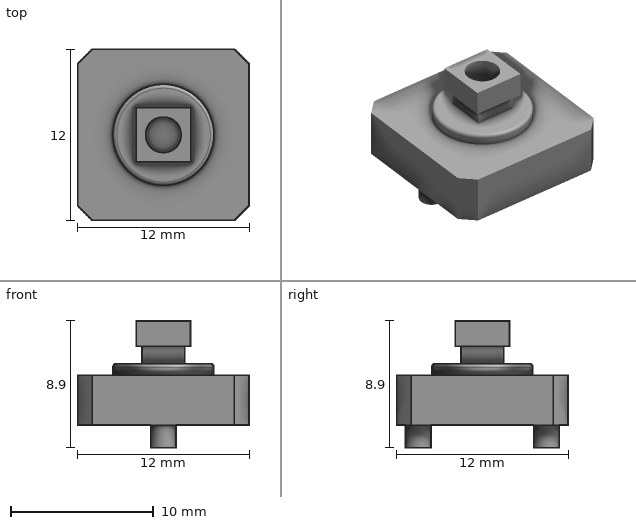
import cadquery as cq

base_side = 12.0
base_height = 3.5
corner_cut = 1.02

collar_diameter = 7.08
collar_height = 0.8
collar_fillet = 0.25

neck_side = 3.0
neck_height = 1.2
head_side = 3.8
head_height = 1.8
bore_diameter = 2.5
bore_depth = head_height

peg_diameter = 1.8
peg_length = 1.6
peg_offset = 4.49

collar_top = base_height + collar_height
neck_top = collar_top + neck_height
head_top = neck_top + head_height


def square_block(side, bottom, height):
    """Square block centred on the Z axis."""
    return cq.Workplane("XY").workplane(offset=bottom).rect(side, side).extrude(height)


def make_base():
    return square_block(base_side, 0, base_height).edges("|Z").chamfer(corner_cut)


def make_collar():
    collar = cq.Workplane("XY").workplane(offset=base_height)
    collar = collar.circle(collar_diameter / 2).extrude(collar_height)
    return collar.faces(">Z").edges().fillet(collar_fillet)


def make_plunger():
    neck = square_block(neck_side, collar_top, neck_height)
    head = square_block(head_side, neck_top, head_height)
    return neck.union(head)


def make_bore():
    """Blind round bore, open at the top of the head."""
    bore = cq.Workplane("XY").workplane(offset=head_top)
    return bore.circle(bore_diameter / 2).extrude(-bore_depth)


def make_pegs():
    centres = [(0, -peg_offset), (0, peg_offset)]
    return cq.Workplane("XY").pushPoints(centres).circle(peg_diameter / 2).extrude(-peg_length)


result = (
    make_base()
    .union(make_collar())
    .union(make_plunger())
    .union(make_pegs())
    .cut(make_bore())
)